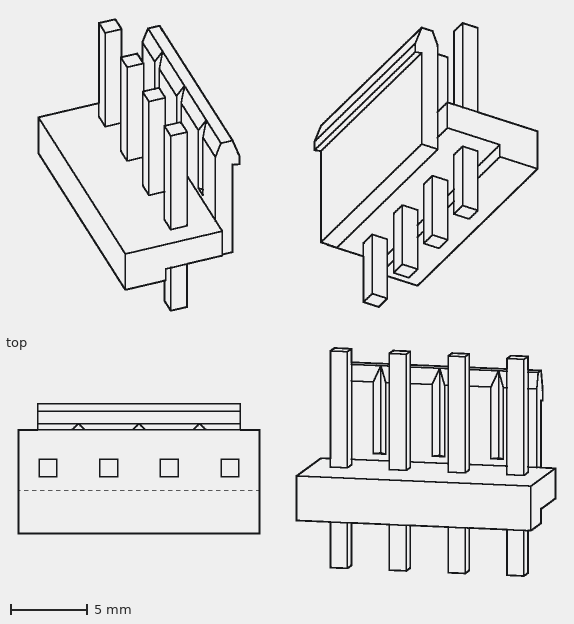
import cadquery as cq

base_length = 15.78
base_depth = 6.8
base_height = 2.97
foot_depth = 2.84
relief_height = 0.95

pin_count = 4
pin_pitch = 3.96
pin_width = 1.15
pin_height = 14.4
pin_bottom = -3.72
pin_y = 4.3

wall_length = 13.25
wall_thickness = 1.22
wall_top = 9.2
lead_in_depth = 0.4
lead_in_height = 1.03
total_depth = 8.5
hook_top = 7.78
hook_bottom = 7.1
hook_undercut = 0.1

groove_width = 0.84
groove_depth = lead_in_depth
groove_bottom = 3.41


def row_positions(count):
    """X positions of a row at pin pitch, centred on the part."""
    return [(i - (count - 1) / 2) * pin_pitch for i in range(count)]


def extrude_side_profile(points, length):
    """Extrude a (Y, Z) outline along X, centred on X = 0."""
    return cq.Workplane("YZ").polyline(points).close().extrude(length / 2, both=True)


def make_base():
    return extrude_side_profile(
        [
            (0, 0),
            (foot_depth, 0),
            (foot_depth, relief_height),
            (base_depth, relief_height),
            (base_depth, base_height),
            (0, base_height),
        ],
        base_length,
    )


def make_wall():
    wall_back = base_depth + wall_thickness
    return extrude_side_profile(
        [
            (base_depth, 0),
            (wall_back, 0),
            (wall_back, hook_bottom + hook_undercut),
            (total_depth, hook_bottom),
            (total_depth, hook_top),
            (wall_back, wall_top),
            (base_depth + lead_in_depth, wall_top),
            (base_depth, wall_top - lead_in_height),
        ],
        wall_length,
    )


def make_grooves():
    return (
        cq.Workplane("XY", origin=(0, base_depth, groove_bottom))
        .pushPoints([(x, 0) for x in row_positions(pin_count - 1)])
        .eachpoint(groove_prism)
    )


def groove_prism(location):
    prism = (
        cq.Workplane("XY")
        .polyline([(-groove_width / 2, 0), (groove_width / 2, 0), (0, groove_depth)])
        .close()
        .extrude(wall_top - groove_bottom)
    )
    return prism.val().moved(location)


def make_pins():
    return (
        cq.Workplane("XY", origin=(0, pin_y, pin_bottom))
        .pushPoints([(x, 0) for x in row_positions(pin_count)])
        .rect(pin_width, pin_width)
        .extrude(pin_height)
    )


grooved_wall = make_wall().cut(make_grooves())
result = make_base().union(grooved_wall).union(make_pins())